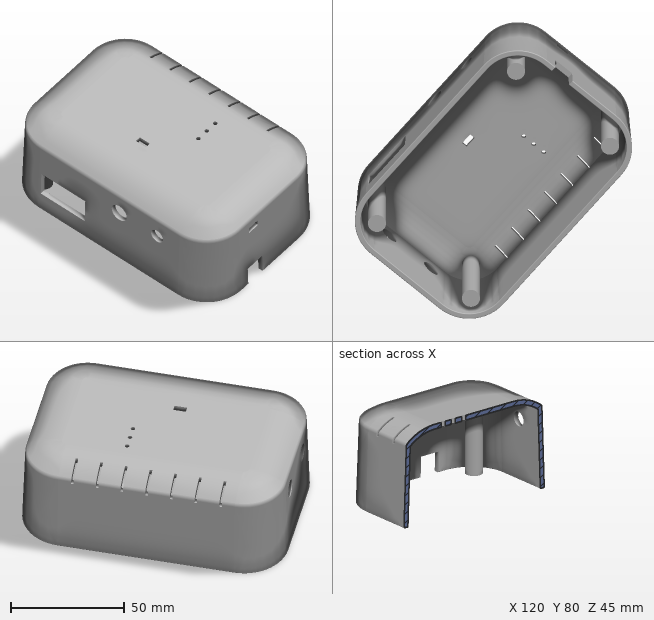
import cadquery as cq
import math

LENGTH = 120.0
WIDTH = 80.0
HEIGHT = 45.0
CORNER_RADIUS = 20.0
WALL_DRAFT = math.radians(2)
DOME_RADIUS = 25.0
DOME_INSET = 17.5
SHOULDER_RADIUS = 2.0
RIM_RADIUS = 0.4
WALL = 2.5

CORNER_X = LENGTH / 2 - CORNER_RADIUS
CORNER_Y = WIDTH / 2 - CORNER_RADIUS

FLAT_RADIUS = CORNER_RADIUS - DOME_INSET
DOME_CENTER_Z = HEIGHT - DOME_RADIUS

POST_DIAMETER = 8.0
POST_SPAN_X = 94.5
POST_SPAN_Y = 54.5

WINDOW_X = -26.3
WINDOW_Z = 16.2
WINDOW_LENGTH = 25.2
WINDOW_HEIGHT = 12.8
FRONT_HOLES = ((5.6, 28.8, 8.6), (27.3, 29.1, 6.8))

SIDE_HOLE_DIAMETER = 8.0
SIDE_HOLE_Y = 12.0
SIDE_HOLE_Z = 29.5

PORT_Y = -10.3
PORT_LENGTH = 6.2
PORT_BOTTOM_Z = 31.9
PORT_HEIGHT = 3.0
NOTCH_LENGTH = 10.0
NOTCH_HEIGHT = 10.0

INDICATOR_COUNT = 3
INDICATOR_DIAMETER = 2.0
INDICATOR_X = 13.6
INDICATOR_Y = 11.75
INDICATOR_PITCH = 5.8
SWITCH_X = -3.8
SWITCH_Y = -11.4
SWITCH_LENGTH = 5.7
SWITCH_WIDTH = 2.7

VENT_COUNT = 7
VENT_PITCH = 11.17
VENT_WIDTH = 1.2
VENT_FRONT_Y = 29.5
VENT_FLOOR_Z = 37.0


def wall_radius(z, inset):
    """Distance of the drafted wall face from the corner axis at height z."""
    return CORNER_RADIUS - z * math.tan(WALL_DRAFT) - inset / math.cos(WALL_DRAFT)


def wall_dome_crossing(dome_radius, inset):
    """Point where the wall face, moved in by inset, crosses a dome arc of the given radius."""
    slope = math.tan(WALL_DRAFT)
    reach = wall_radius(DOME_CENTER_Z, inset) - FLAT_RADIUS
    a = 1 + slope**2
    b = reach * slope
    c = reach**2 - dome_radius**2
    rise = (b + math.sqrt(b**2 - a * c)) / a
    return FLAT_RADIUS + reach - slope * rise, DOME_CENTER_Z + rise


def dome_point(radius, angle):
    """Point on a dome arc, angle measured up from the horizontal."""
    return FLAT_RADIUS + radius * math.cos(angle), DOME_CENTER_Z + radius * math.sin(angle)


def dome_angle(point):
    """Angle of a point as seen from the dome arc's centre."""
    return math.atan2(point[1] - DOME_CENTER_Z, point[0] - FLAT_RADIUS)


def round_point(center, radius, angle):
    """Point on a round of the given center and radius."""
    return center[0] + radius * math.cos(angle), center[1] + radius * math.sin(angle)


def outer_profile(plane):
    """Half section of the outer skin, from the corner axis outwards."""
    rim_center = (wall_radius(RIM_RADIUS, RIM_RADIUS), RIM_RADIUS)
    shoulder_center = wall_dome_crossing(DOME_RADIUS - SHOULDER_RADIUS, SHOULDER_RADIUS)
    shoulder_angle = dome_angle(shoulder_center)
    top_angle = math.pi / 2
    return (
        cq.Workplane(plane)
        .lineTo(rim_center[0], 0)
        .threePointArc(
            round_point(rim_center, RIM_RADIUS, -math.pi / 4),
            round_point(rim_center, RIM_RADIUS, WALL_DRAFT),
        )
        .lineTo(*round_point(shoulder_center, SHOULDER_RADIUS, WALL_DRAFT))
        .threePointArc(
            round_point(shoulder_center, SHOULDER_RADIUS, (WALL_DRAFT + shoulder_angle) / 2),
            dome_point(DOME_RADIUS, shoulder_angle),
        )
        .threePointArc(
            dome_point(DOME_RADIUS, (shoulder_angle + top_angle) / 2),
            (FLAT_RADIUS, HEIGHT),
        )
        .lineTo(0, HEIGHT)
        .close()
    )


def inner_profile(plane):
    """Half section of the cavity, one wall thickness inside the outer skin."""
    inner_dome = DOME_RADIUS - WALL
    rim_center = (wall_radius(RIM_RADIUS, WALL - RIM_RADIUS), RIM_RADIUS)
    edge = wall_dome_crossing(inner_dome, WALL)
    middle_angle = (dome_angle(edge) + math.pi / 2) / 2
    return (
        cq.Workplane(plane)
        .lineTo(rim_center[0], 0)
        .threePointArc(
            round_point(rim_center, RIM_RADIUS, -3 * math.pi / 4),
            round_point(rim_center, RIM_RADIUS, math.pi + WALL_DRAFT),
        )
        .lineTo(*edge)
        .threePointArc(dome_point(inner_dome, middle_angle), (FLAT_RADIUS, HEIGHT - WALL))
        .lineTo(0, HEIGHT - WALL)
        .close()
    )


def profile_block(profile, height):
    """Block whose section follows the profile all around the rounded rectangle."""
    block = cq.Workplane("XY").box(2 * CORNER_X, 2 * CORNER_Y, height, centered=(True, True, False))
    corner = profile("XZ").revolve(360, (0, 0), (0, 1))
    long_side = profile("YZ").extrude(CORNER_X, both=True).translate((0, CORNER_Y, 0))
    short_side = profile("XZ").extrude(CORNER_Y, both=True).translate((CORNER_X, 0, 0))
    for side in (long_side, short_side):
        block = block.union(side).union(side.rotate((0, 0, 0), (0, 0, 1), 180))
    for x in (-CORNER_X, CORNER_X):
        for y in (-CORNER_Y, CORNER_Y):
            block = block.union(corner.translate((x, y, 0)))
    return block


def corner_posts():
    """Four posts, left standing where the cavity is not hollowed out."""
    return (
        cq.Workplane("XY")
        .rect(POST_SPAN_X, POST_SPAN_Y, forConstruction=True)
        .vertices()
        .circle(POST_DIAMETER / 2)
        .extrude(HEIGHT)
    )


def front_openings():
    """Window and round holes through the front wall."""
    depth = WIDTH / 2
    face = cq.Workplane("XZ")
    cutter = face.center(WINDOW_X, WINDOW_Z).rect(WINDOW_LENGTH, WINDOW_HEIGHT).extrude(depth)
    for x, z, diameter in FRONT_HOLES:
        cutter = cutter.union(face.center(x, z).circle(diameter / 2).extrude(depth))
    return cutter


def left_holes():
    """Two round holes through the left wall."""
    centers = [(-SIDE_HOLE_Y, SIDE_HOLE_Z), (SIDE_HOLE_Y, SIDE_HOLE_Z)]
    return cq.Workplane("YZ").pushPoints(centers).circle(SIDE_HOLE_DIAMETER / 2).extrude(-LENGTH / 2)


def right_openings():
    """Rectangular port and the rim notch below it in the right wall."""
    port = (
        cq.Workplane("XY", origin=(0, PORT_Y, PORT_BOTTOM_Z))
        .box(LENGTH / 2, PORT_LENGTH, PORT_HEIGHT, centered=(False, True, False))
    )
    notch = (
        cq.Workplane("XY", origin=(0, PORT_Y, 0))
        .box(LENGTH / 2, NOTCH_LENGTH, NOTCH_HEIGHT, centered=(False, True, False))
    )
    return port.union(notch)


def top_openings():
    """Indicator holes and the rectangular opening through the flat top."""
    top = cq.Workplane("XY", origin=(0, 0, HEIGHT))
    depth = -2 * WALL
    indicators = (
        top.center(INDICATOR_X, INDICATOR_Y)
        .rarray(1, INDICATOR_PITCH, 1, INDICATOR_COUNT)
        .circle(INDICATOR_DIAMETER / 2)
        .extrude(depth)
    )
    switch = top.center(SWITCH_X, SWITCH_Y).rect(SWITCH_LENGTH, SWITCH_WIDTH).extrude(depth)
    return indicators.union(switch)


def vent_slots():
    """Row of slots cut across the rear dome, down to a level floor."""
    length = WIDTH / 2 - VENT_FRONT_Y
    return (
        cq.Workplane("XY", origin=(0, VENT_FRONT_Y + length / 2, VENT_FLOOR_Z))
        .rarray(VENT_PITCH, 1, VENT_COUNT, 1)
        .rect(VENT_WIDTH, length)
        .extrude(HEIGHT - VENT_FLOOR_Z)
    )


outer_block = profile_block(outer_profile, HEIGHT)
cavity = profile_block(inner_profile, HEIGHT - WALL).cut(corner_posts())
cover = outer_block.cut(cavity)
for openings in (front_openings(), left_holes(), right_openings(), top_openings(), vent_slots()):
    cover = cover.cut(openings)

result = cover